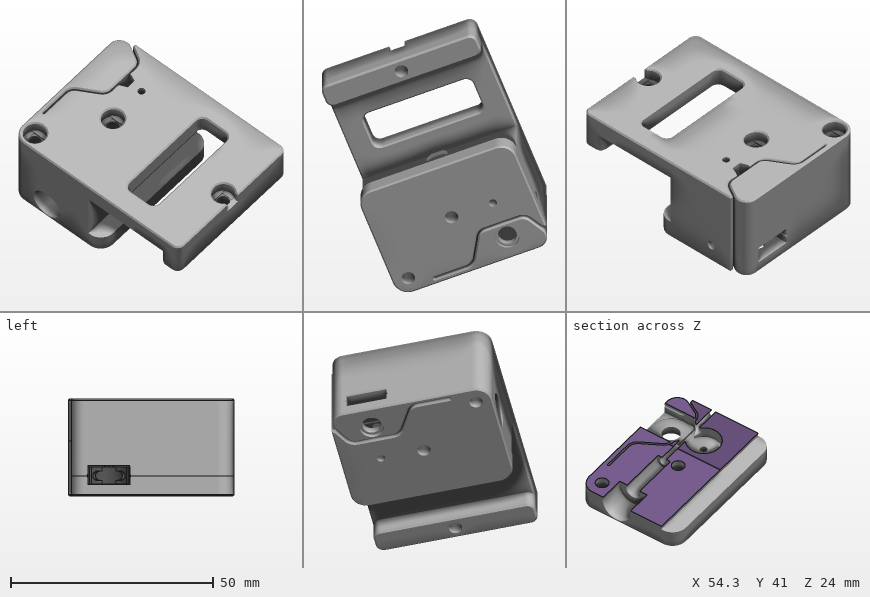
import cadquery as cq
import math

LENGTH = 54.3
WIDTH = 41.0
HEIGHT = 24.0
SPLIT_Z = 5.0
PLATE_THICKNESS = 5.25
PLATE_BOTTOM_Z = HEIGHT - PLATE_THICKNESS
BLOCK_LENGTH = 25.0
BASE_LENGTH = 29.55
BODY_CORNER_RADIUS = 4.0
PLATE_CORNER_RADIUS = 2.0
EDGE_CHAMFER = 0.4
MID_Y = WIDTH / 2

SLOT_WIDTH = 0.45
SLOT_ROOT_X = 1.5
SLOT_HEAD_X = 9.55
SLOT_END_Y = 10.25
HEAD_BEND_Y = 35.4
ROOT_BEND_Y = 18.4
BEND_RADIUS = 3.0
BEND_ANGLE = 60.0
SLOT_MOUTH_X = 4.95
LEVER_CORNER_RADIUS = 3.0

FOOT_LENGTH = 6.1
FOOT_BOTTOM_Z = 13.7
FOOT_CHAMFER = 0.5

TOWER_FRONT_Y = 25.0
TOWER_TOP_Z = 13.5

WINDOW_CENTER_X = 36.45
WINDOW_LENGTH = 9.7
WINDOW_WIDTH = 29.0
WINDOW_CORNER_RADIUS = 2.0

SCREWS = [(3.95, 4.05, 0), (15.65, 20.05, 0), (51.25, MID_Y, 90)]
SCREW_DIAMETER = 3.3
SCREW_HEAD_DIAMETER = 6.0
SCREW_HEAD_DEPTH = 3.0
SEAT_WIDTH = 3.4
SEAT_STEP = 0.25
NOTCH_WIDTH = 4.0

FILAMENT_X = 11.35
FILAMENT_DIAMETER = 2.4
COUPLER_DIAMETER = 8.45
COUPLER_DEPTH = 7.0
TUBE_DIAMETER = 4.2
TUBE_END_Y = 20.0

ROLLER_Y = 30.95
ROLLER_X = 5.7
ROLLER_BORE = 4.7
ROLLER_POCKET_DIAMETER = 10.5
ROLLER_POCKET_BOTTOM_Z = 2.8
ROLLER_SCREW_HEAD_DIAMETER = 6.0
ROLLER_SCREW_HEAD_DEPTH = 1.0
OPENING_WIDTH = 10.25
OPENING_BOTTOM_Z = 2.95
OPENING_TOP_Z = 7.5
OPENING_TOP_CHAMFER = 0.3
CAVITY_TOP_Z = OPENING_TOP_Z - OPENING_TOP_CHAMFER
GROOVE_DEPTH = 0.3
ROLLER_CLEARANCE_DIAMETER = 11.95

GEAR_X = 15.6
GEAR_CAVITY_DIAMETER = 9.0
GEAR_SHAFT_DIAMETER = 2.0

WELL_END_X = 12.2
WELL_MOUTH_WIDTH = 4.9
WELL_END_WIDTH = 2.7

BOSS_DIAMETER = 5.5
BOSS_CENTER_Z = 12.7
BOSS_PEAK_Z = 17.05
BOSS_REACH = 1.9


def on_bend(center, radius, degrees):
    angle = math.radians(degrees)
    return (center[0] + radius * math.cos(angle), center[1] + radius * math.sin(angle))


HEAD_BEND_X = SLOT_HEAD_X - BEND_RADIUS
ROOT_BEND = (SLOT_ROOT_X + BEND_RADIUS, ROOT_BEND_Y)
SLANT = math.radians(BEND_ANGLE)
SLANT_LENGTH = (SLOT_HEAD_X - SLOT_ROOT_X - 2 * BEND_RADIUS * (1 - math.cos(SLANT))) / math.sin(SLANT)
LOWER_HEAD_BEND = (
    HEAD_BEND_X,
    ROOT_BEND_Y + 2 * BEND_RADIUS * math.sin(SLANT) + SLANT_LENGTH * math.cos(SLANT),
)
UPPER_HEAD_BEND = (HEAD_BEND_X, HEAD_BEND_Y)

HALF_SLOT = SLOT_WIDTH / 2
OUTER_RADIUS = BEND_RADIUS + HALF_SLOT
INNER_RADIUS = BEND_RADIUS - HALF_SLOT
MOUTH_BEND_END = on_bend(UPPER_HEAD_BEND, OUTER_RADIUS, BEND_ANGLE)
MOUTH_Y = MOUTH_BEND_END[1] + (MOUTH_BEND_END[0] - SLOT_MOUTH_X) / math.tan(SLANT)

LEVER_CORNER = (
    LEVER_CORNER_RADIUS,
    HEAD_BEND_Y
    + (
        INNER_RADIUS
        - LEVER_CORNER_RADIUS
        + (HEAD_BEND_X - LEVER_CORNER_RADIUS) * math.cos(SLANT)
    )
    / math.sin(SLANT),
)


def bend(wire, center, radius, start, end):
    """Line to the start of a bend, then follow it to its end angle."""
    wire = wire.lineTo(*on_bend(center, radius, start))
    return wire.threePointArc(on_bend(center, radius, (start + end) / 2), on_bend(center, radius, end))


def plan_prism(length, corner_radius, bottom_z, top_z):
    """Plan outline with the lever slot, extruded between two heights."""
    near = corner_radius
    far = length - corner_radius
    wire = cq.Workplane("XY", origin=(0, 0, bottom_z)).moveTo(BODY_CORNER_RADIUS, 0)
    wire = bend(wire, (far, near), corner_radius, -90, 0)
    wire = bend(wire, (far, WIDTH - near), corner_radius, 0, 90)
    wire = wire.lineTo(SLOT_MOUTH_X, WIDTH).lineTo(SLOT_MOUTH_X, MOUTH_Y)
    wire = bend(wire, UPPER_HEAD_BEND, OUTER_RADIUS, BEND_ANGLE, 0)
    wire = bend(wire, LOWER_HEAD_BEND, OUTER_RADIUS, 0, -BEND_ANGLE)
    wire = bend(wire, ROOT_BEND, INNER_RADIUS, 180 - BEND_ANGLE, 180)
    wire = bend(wire, (SLOT_ROOT_X, SLOT_END_Y), HALF_SLOT, 0, -180)
    wire = bend(wire, ROOT_BEND, OUTER_RADIUS, 180, 180 - BEND_ANGLE)
    wire = bend(wire, LOWER_HEAD_BEND, INNER_RADIUS, -BEND_ANGLE, 0)
    wire = bend(wire, UPPER_HEAD_BEND, INNER_RADIUS, 0, BEND_ANGLE)
    wire = bend(wire, LEVER_CORNER, LEVER_CORNER_RADIUS, BEND_ANGLE, 180)
    wire = bend(wire, (BODY_CORNER_RADIUS, BODY_CORNER_RADIUS), BODY_CORNER_RADIUS, 180, 270)
    return wire.close().extrude(top_z - bottom_z)


def block_between(x_range, y_range, z_range):
    size = [high - low for low, high in (x_range, y_range, z_range)]
    return cq.Workplane("XY").box(*size, centered=False).translate((x_range[0], y_range[0], z_range[0]))


def upright_cylinder(x, y, diameter, bottom_z, top_z):
    return cq.Workplane("XY", origin=(x, y, bottom_z)).circle(diameter / 2).extrude(top_z - bottom_z)


def rim_chamfer(cutter):
    """Cutter for the chamfer around an opening in the top face, spreading from the opening's shape."""
    return cutter.faces(">Z").wires().toPending().offset2D(EDGE_CHAMFER).extrude(
        -EDGE_CHAMFER, taper=45
    )


def plate():
    body = plan_prism(LENGTH, PLATE_CORNER_RADIUS, PLATE_BOTTOM_Z, HEIGHT)
    return body.faces("<Z or >Z").edges().chamfer(EDGE_CHAMFER)


def block():
    top_z = HEIGHT - EDGE_CHAMFER
    body = plan_prism(LENGTH, PLATE_CORNER_RADIUS, SPLIT_Z, top_z)
    return body.intersect(block_between((0, BLOCK_LENGTH), (0, WIDTH), (SPLIT_Z, top_z)))


def foot():
    top_z = HEIGHT - EDGE_CHAMFER
    body = block_between((LENGTH - FOOT_LENGTH, LENGTH), (0, WIDTH), (FOOT_BOTTOM_Z, top_z))
    body = body.edges("|Z").fillet(PLATE_CORNER_RADIUS)
    return body.faces("<Z").edges().chamfer(FOOT_CHAMFER)


def boss():
    """Teardrop boss whose ridge slopes down at 45 degrees to its tip."""
    radius = BOSS_DIAMETER / 2
    peak = BOSS_PEAK_Z - BOSS_CENTER_Z
    flank_z = radius**2 / peak
    flank_y = math.sqrt(radius**2 - flank_z**2)
    body = (
        cq.Workplane("YZ", origin=(BLOCK_LENGTH, MID_Y, BOSS_CENTER_Z))
        .moveTo(-flank_y, flank_z)
        .threePointArc((0, -radius), (flank_y, flank_z))
        .lineTo(0, peak)
        .close()
        .extrude(BOSS_REACH)
    )
    slope = (
        cq.Workplane("XZ", origin=(BLOCK_LENGTH, MID_Y - radius, BOSS_PEAK_Z))
        .polyline([(0, 0), (BOSS_REACH, -BOSS_REACH), (BOSS_REACH, 0)])
        .close()
        .extrude(-BOSS_DIAMETER)
    )
    return body.cut(slope)


def plate_window():
    cutter = block_between(
        (WINDOW_CENTER_X - WINDOW_LENGTH / 2, WINDOW_CENTER_X + WINDOW_LENGTH / 2),
        (MID_Y - WINDOW_WIDTH / 2, MID_Y + WINDOW_WIDTH / 2),
        (PLATE_BOTTOM_Z, HEIGHT),
    )
    cutter = cutter.edges("|Z").fillet(WINDOW_CORNER_RADIUS)
    top_rim = rim_chamfer(cutter)
    bottom_rim = top_rim.mirror("XY", (0, 0, (PLATE_BOTTOM_Z + HEIGHT) / 2))
    return cutter.union(top_rim).union(bottom_rim)


def screw_cutter(x, y, turn):
    """Through hole, head counterbore and two seat steps: a chord-sided slot, then a square."""
    seat_z = HEIGHT - SCREW_HEAD_DEPTH
    slot_z = seat_z - SEAT_STEP
    square_z = slot_z - SEAT_STEP
    head = upright_cylinder(0, 0, SCREW_HEAD_DIAMETER, seat_z, HEIGHT)
    half = SEAT_WIDTH / 2
    reach = SCREW_HEAD_DIAMETER / 2
    slot = block_between((-reach, reach), (-half, half), (slot_z, seat_z)).intersect(
        upright_cylinder(0, 0, SCREW_HEAD_DIAMETER, slot_z, seat_z)
    )
    cutter = (
        head.union(rim_chamfer(head))
        .union(slot)
        .union(block_between((-half, half), (-half, half), (square_z, slot_z)))
        .union(upright_cylinder(0, 0, SCREW_DIAMETER, 0, HEIGHT))
    )
    return cutter.rotate((0, 0, 0), (0, 0, 1), turn).translate((x, y, 0))


def end_notch():
    """Opening that lets the end screw's counterbore out through the plate's end."""
    screw_x = SCREWS[-1][0]
    cutter = block_between(
        (screw_x, LENGTH + EDGE_CHAMFER),
        (MID_Y - NOTCH_WIDTH / 2, MID_Y + NOTCH_WIDTH / 2),
        (HEIGHT - SCREW_HEAD_DEPTH, HEIGHT),
    )
    return cutter.union(rim_chamfer(cutter))


def filament_path():
    cutter = None
    for diameter, depth in (
        (FILAMENT_DIAMETER, WIDTH),
        (TUBE_DIAMETER, TUBE_END_Y),
        (COUPLER_DIAMETER, COUPLER_DEPTH),
    ):
        bore = cq.Workplane("XZ", origin=(FILAMENT_X, 0, SPLIT_Z)).circle(diameter / 2).extrude(-depth)
        cutter = bore if cutter is None else cutter.union(bore)
    return cutter


def roller_opening():
    """Opening in the -X face, with a ceiling that slopes up to it and grooved side walls."""
    half = OPENING_WIDTH / 2
    opening = (
        cq.Workplane("XZ", origin=(0, ROLLER_Y - half, 0))
        .polyline([
            (0, OPENING_BOTTOM_Z),
            (0, OPENING_TOP_Z),
            (OPENING_TOP_CHAMFER, CAVITY_TOP_Z),
            (ROLLER_X, CAVITY_TOP_Z),
            (ROLLER_X, OPENING_BOTTOM_Z),
        ])
        .close()
        .extrude(-OPENING_WIDTH)
    )
    for wall_y in (ROLLER_Y - half, ROLLER_Y + half):
        groove = (
            cq.Workplane("YZ", origin=(0, wall_y, SPLIT_Z))
            .polyline([(-GROOVE_DEPTH, 0), (0, -GROOVE_DEPTH), (GROOVE_DEPTH, 0), (0, GROOVE_DEPTH)])
            .close()
            .extrude(ROLLER_X)
        )
        opening = opening.union(groove)
    return opening


def roller_pocket():
    """Round pocket in the lever, its screw hole, and the roller clearance across the slot."""
    pocket = upright_cylinder(
        ROLLER_X, ROLLER_Y, ROLLER_POCKET_DIAMETER, ROLLER_POCKET_BOTTOM_Z, CAVITY_TOP_Z
    )
    bore = upright_cylinder(ROLLER_X, ROLLER_Y, ROLLER_BORE, 0, ROLLER_POCKET_BOTTOM_Z)
    head = upright_cylinder(ROLLER_X, ROLLER_Y, ROLLER_SCREW_HEAD_DIAMETER, 0, ROLLER_SCREW_HEAD_DEPTH)
    half = OPENING_WIDTH / 2
    clearance = upright_cylinder(
        ROLLER_X, ROLLER_Y, ROLLER_CLEARANCE_DIAMETER, OPENING_BOTTOM_Z, CAVITY_TOP_Z
    ).intersect(
        block_between(
            (ROLLER_X, ROLLER_X + ROLLER_CLEARANCE_DIAMETER / 2),
            (ROLLER_Y - half, ROLLER_Y + half),
            (OPENING_BOTTOM_Z, CAVITY_TOP_Z),
        )
    )
    return roller_opening().union(pocket).union(bore).union(head).union(clearance)


def gear_cavity():
    shaft = upright_cylinder(GEAR_X, ROLLER_Y, GEAR_SHAFT_DIAMETER, 0, HEIGHT)
    return shaft.union(
        upright_cylinder(GEAR_X, ROLLER_Y, GEAR_CAVITY_DIAMETER, OPENING_BOTTOM_Z, CAVITY_TOP_Z)
    )


def well():
    """Upright well beside the slot, with a V-shaped floor and a round hole on to the filament."""
    mouth = WELL_MOUTH_WIDTH / 2
    end = WELL_END_WIDTH / 2
    floor_z = CAVITY_TOP_Z + mouth
    shaft = (
        cq.Workplane("XY", origin=(0, ROLLER_Y, floor_z))
        .polyline([(SLOT_HEAD_X, -mouth), (WELL_END_X, -end), (WELL_END_X, end), (SLOT_HEAD_X, mouth)])
        .close()
        .extrude(HEIGHT - floor_z)
    )
    v_floor = (
        cq.Workplane("YZ", origin=(SLOT_HEAD_X, ROLLER_Y, floor_z))
        .polyline([(-mouth, 0), (mouth, 0), (0, -mouth)])
        .close()
        .workplane(offset=WELL_END_X - SLOT_HEAD_X)
        .polyline([(-end, 0), (end, 0), (0, -end)])
        .close()
        .loft(ruled=True)
    )
    hole = upright_cylinder(FILAMENT_X, ROLLER_Y, FILAMENT_DIAMETER, SPLIT_Z, floor_z).intersect(
        block_between(
            (SLOT_HEAD_X, WELL_END_X), (ROLLER_Y - mouth, ROLLER_Y + mouth), (SPLIT_Z, floor_z)
        )
    )
    return shaft.union(v_floor).union(hole)


def tower():
    """Rear part of the base, on the body side of the slot, in a matching recess of the housing."""
    band = plan_prism(LENGTH, PLATE_CORNER_RADIUS, SPLIT_Z, TOWER_TOP_Z).intersect(
        block_between((0, BLOCK_LENGTH), (TOWER_FRONT_Y, WIDTH), (SPLIT_Z, TOWER_TOP_Z))
    )
    return band.solids(">X")


def cut_shared_openings(body):
    """Openings that run through the housing and the base alike."""
    for x, y, turn in SCREWS:
        body = body.cut(screw_cutter(x, y, turn))
    return body.cut(filament_path()).cut(roller_pocket()).cut(gear_cavity()).cut(well())


def make_housing():
    body = plate().union(block()).union(foot()).union(boss())
    body = body.cut(tower()).cut(plate_window()).cut(end_notch())
    return cut_shared_openings(body)


def make_base():
    body = plan_prism(BASE_LENGTH, BODY_CORNER_RADIUS, 0, SPLIT_Z)
    body = body.faces("<Z").edges().chamfer(EDGE_CHAMFER).union(tower())
    return cut_shared_openings(body)


housing = make_housing().solids()
base = make_base().solids()

result = cq.Compound.makeCompound([housing.val(), base.val()])